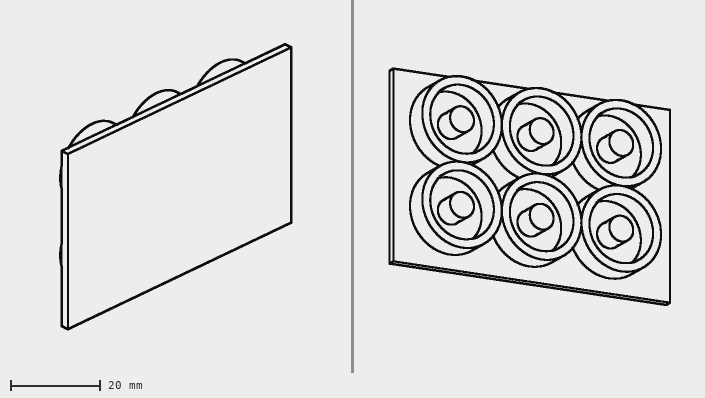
import cadquery as cq

plate_thickness = 2.0
plate_width = 69.5
plate_height = 45.05

cup_depth = 6.0
cup_outer_diameter = 20.0
cup_wall = 2.0
cup_inner_diameter = cup_outer_diameter - 2 * cup_wall
pin_diameter = 6.0

columns = 3
rows = 2
pitch = cup_outer_diameter
grid_shift_y = 0.6
top_margin = 1.5
grid_height = pitch * (rows - 1) + cup_outer_diameter
grid_shift_z = (plate_height - grid_height) / 2 - top_margin


def make_plate():
    """Flat plate whose -X face lies on the plane X = 0."""
    return cq.Workplane("YZ").rect(plate_width, plate_height).extrude(plate_thickness)


def cup_centres():
    """(Y, Z) positions of the cups."""
    first_y = grid_shift_y - pitch * (columns - 1) / 2
    first_z = grid_shift_z - pitch * (rows - 1) / 2
    return [
        (first_y + column * pitch, first_z + row * pitch)
        for column in range(columns)
        for row in range(rows)
    ]


def add_cup(body, y, z):
    """Join one walled cup and its centre pin to the body."""
    base = cq.Workplane("YZ").center(y, z)
    wall = base.circle(cup_outer_diameter / 2).circle(cup_inner_diameter / 2).extrude(-cup_depth)
    pin = base.circle(pin_diameter / 2).extrude(-cup_depth)
    return body.union(wall).union(pin)


result = make_plate()
for centre_y, centre_z in cup_centres():
    result = add_cup(result, centre_y, centre_z)